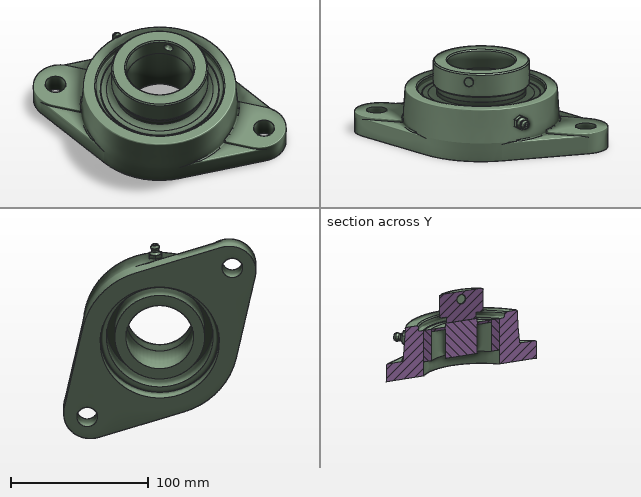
import cadquery as cq
import math

LENGTH = 189.0
BODY_RADIUS = 56.98
EAR_RADIUS = 19.5
EAR_OFFSET = LENGTH / 2 - EAR_RADIUS
PLATE_TOP = 13.8
PLATE_EDGE_ROUND = 1.1
PAD_TOP = 15.5
PAD_EDGE_ROUND = 0.8
BOLT_HOLE_DIAMETER = 15.0
BOLT_HOLE_OFFSET = 78.5
BOSS_TOP = 39.1
BOSS_TOP_RADIUS = 55.4
BOSS_TOP_ROUND = 1.1
BOSS_FOOT_ROUND = 1.0

RECESS_RADIUS = 92.8 / 2
RECESS_CHAMFER = 1.0
RECESS_FLOOR_ROUND = 0.8
BEARING_TOP = 34.8
BEARING_BOTTOM = 10.5
OUTER_RING_RADIUS = 43.3
OUTER_RING_CHAMFER = 0.5
SEAL_OUTER_RADIUS = 77.5 / 2
SEAL_THICKNESS = 2.3
INNER_RING_RADIUS = 65.2 / 2
SHAFT_RADIUS = 49.1 / 2

COLLAR_TOP = 60.0
COLLAR_BOTTOM = 41.8
COLLAR_RADIUS = 70.0 / 2
COLLAR_CHAMFER = 1.0
PILOT_RADIUS = 64.5 / 2
PILOT_BOTTOM = 37.6
SPIGOT_RADIUS = 59.3 / 2
SPIGOT_TOP = 46.0
SCREW_RADIUS = 6.8 / 2
SCREW_HEIGHT = 53.7
SCREW_INNER_END = 30.2
SCREW_OUTER_END = 36.3

NIPPLE_ANGLE = 134.7
NIPPLE_HEIGHT = 27.5
NIPPLE_TIP = 65.5
HEX_ACROSS_FLATS = 9.3
HEX_ACROSS_CORNERS = HEX_ACROSS_FLATS / math.cos(math.radians(30))
HEX_OUTER_END = NIPPLE_TIP - 6.8
HEX_INNER_END = 54.8
SHANK_RADIUS = 6.0 / 2
SHANK_INNER_END = 49.1
TIP_RADIUS = 2.3
HEAD_RADIUS = 6.8 / 2
HEAD_WIDEST = NIPPLE_TIP - 1.9
NECK_RADIUS = 2.6
NECK_OUTER_END = NIPPLE_TIP - 3.8
NECK_INNER_END = NIPPLE_TIP - 5.1
HEX_CONE_RADIUS = 4.2
BALL_RADIUS = 2.3 / 2
BALL_PROTRUSION = 0.5
BALL_CENTRE = NIPPLE_TIP + BALL_PROTRUSION - BALL_RADIUS


def cylinder(radius, bottom, top):
    return cq.Workplane("XY").workplane(offset=bottom).circle(radius).extrude(top - bottom)


def tube(outer_radius, inner_radius, bottom, top):
    return cylinder(outer_radius, bottom, top).cut(cylinder(inner_radius, bottom, top))


def revolved(profile):
    """Closed (radius, height) outline turned about the Z axis."""
    return cq.Workplane("XZ").polyline(profile).close().revolve(360, (0, 0, 0), (0, 1, 0))


def aim_nipple(shape):
    """Lay a shape built along Z onto the nipple axis, with one hexagon corner upward."""
    laid_down = shape.rotate((0, 0, 0), (0, 1, 0), 90)
    return laid_down.rotate((0, 0, 0), (0, 0, 1), NIPPLE_ANGLE).translate((0, 0, NIPPLE_HEIGHT))


def wing_outline(inset):
    """Straight tangents common to the middle circle and the ears, moved inward by the inset."""
    normal_x = (BODY_RADIUS - EAR_RADIUS) / EAR_OFFSET
    normal_y = math.sqrt(1 - normal_x ** 2)
    body_x = (BODY_RADIUS - inset) * normal_x
    body_y = (BODY_RADIUS - inset) * normal_y
    ear_x = EAR_OFFSET + (EAR_RADIUS - inset) * normal_x
    ear_y = (EAR_RADIUS - inset) * normal_y
    corners = [
        (ear_x, -ear_y), (ear_x, ear_y), (body_x, body_y), (-body_x, body_y),
        (-ear_x, ear_y), (-ear_x, -ear_y), (-body_x, -body_y), (body_x, -body_y),
    ]
    return cq.Workplane("XY").polyline(corners).close()


def make_plate():
    """Wings of the flange between the middle circle and the ears."""
    plate = wing_outline(0).extrude(PLATE_TOP)
    tangent_edges = plate.faces(">Z").edges("not (|X or |Y)")
    return tangent_edges.fillet(PLATE_EDGE_ROUND)


def make_pads():
    """Round-ended strip that raises both ears above the plate."""
    strip = cq.Workplane("XY").slot2D(LENGTH, 2 * EAR_RADIUS).extrude(PAD_TOP)
    return strip.faces(">Z").edges().fillet(PAD_EDGE_ROUND)


def make_boss():
    """Round flange middle with the tapered bearing boss on top."""
    return revolved([
        (0, 0),
        (BODY_RADIUS, 0),
        (BODY_RADIUS, PLATE_TOP),
        (BOSS_TOP_RADIUS, BOSS_TOP),
        (0, BOSS_TOP),
    ]).faces(">Z").edges().fillet(BOSS_TOP_ROUND)


def make_foot_rounding(floor):
    """Ring with a concave outer side that leads from a flat floor into the tapered boss."""
    taper = (BODY_RADIUS - BOSS_TOP_RADIUS) / (BOSS_TOP - PLATE_TOP)
    foot_radius = BODY_RADIUS - taper * (floor - PLATE_TOP)
    bend = BOSS_FOOT_ROUND * (1 - math.sqrt(0.5))
    return (
        cq.Workplane("XZ")
        .moveTo(RECESS_RADIUS, 0)
        .lineTo(foot_radius + BOSS_FOOT_ROUND, 0)
        .lineTo(foot_radius + BOSS_FOOT_ROUND, floor)
        .threePointArc(
            (foot_radius + bend, floor + bend),
            (foot_radius - taper * BOSS_FOOT_ROUND, floor + BOSS_FOOT_ROUND),
        )
        .lineTo(RECESS_RADIUS, floor + BOSS_FOOT_ROUND)
        .close()
        .revolve(360, (0, 0, 0), (0, 1, 0))
    )


def make_pad_foot_rounding():
    flat_width = 2 * (EAR_RADIUS - PAD_EDGE_ROUND)
    pad_flat = cq.Workplane("XY").box(LENGTH, flat_width, BOSS_TOP, centered=(True, True, False))
    return make_foot_rounding(PAD_TOP).intersect(pad_flat)


def make_plate_foot_rounding():
    plate_flat = wing_outline(PLATE_EDGE_ROUND).extrude(BOSS_TOP)
    return make_foot_rounding(PLATE_TOP).intersect(plate_flat)


def make_housing():
    housing = make_plate().union(make_boss()).union(make_pads())
    housing = housing.union(make_plate_foot_rounding()).union(make_pad_foot_rounding())
    recess = cylinder(RECESS_RADIUS, BEARING_TOP, BOSS_TOP).faces("<Z").edges().fillet(RECESS_FLOOR_ROUND)
    mouth = revolved([
        (0, BOSS_TOP - RECESS_CHAMFER),
        (RECESS_RADIUS, BOSS_TOP - RECESS_CHAMFER),
        (RECESS_RADIUS + RECESS_CHAMFER, BOSS_TOP),
        (0, BOSS_TOP),
    ])
    bolt_holes = (
        cq.Workplane("XY")
        .pushPoints([(-BOLT_HOLE_OFFSET, 0), (BOLT_HOLE_OFFSET, 0)])
        .circle(BOLT_HOLE_DIAMETER / 2)
        .extrude(PAD_TOP)
    )
    bearing_seat = cylinder(OUTER_RING_RADIUS, 0, BEARING_TOP)
    return (
        housing.cut(recess).cut(mouth).cut(bearing_seat).cut(bolt_holes)
        .cut(make_nipple_hex()).cut(make_nipple_shank())
    )


def make_outer_ring():
    ring = cylinder(OUTER_RING_RADIUS, BEARING_BOTTOM, BEARING_TOP).edges().chamfer(OUTER_RING_CHAMFER)
    return ring.cut(cylinder(SEAL_OUTER_RADIUS, BEARING_BOTTOM, BEARING_TOP))


def make_seal():
    return tube(SEAL_OUTER_RADIUS, INNER_RING_RADIUS, BEARING_TOP - SEAL_THICKNESS, BEARING_TOP)


def make_inner_ring():
    ring = tube(INNER_RING_RADIUS, SHAFT_RADIUS, BEARING_BOTTOM, PILOT_BOTTOM)
    return ring.union(tube(SPIGOT_RADIUS, SHAFT_RADIUS, PILOT_BOTTOM, SPIGOT_TOP))


def make_collar():
    collar = cylinder(COLLAR_RADIUS, COLLAR_BOTTOM, COLLAR_TOP).edges().chamfer(COLLAR_CHAMFER)
    collar = collar.union(cylinder(PILOT_RADIUS, PILOT_BOTTOM, COLLAR_BOTTOM))
    collar = collar.cut(cylinder(SPIGOT_RADIUS, PILOT_BOTTOM, SPIGOT_TOP))
    collar = collar.cut(cylinder(SHAFT_RADIUS, SPIGOT_TOP, COLLAR_TOP))
    bore_mouth = revolved([
        (0, COLLAR_TOP - COLLAR_CHAMFER),
        (SHAFT_RADIUS, COLLAR_TOP - COLLAR_CHAMFER),
        (SHAFT_RADIUS + COLLAR_CHAMFER, COLLAR_TOP),
        (0, COLLAR_TOP),
    ])
    return collar.cut(bore_mouth).cut(screw_cylinder(0, COLLAR_RADIUS))


def screw_cylinder(start, end):
    """Cylinder of the set screw diameter along +Y."""
    axis = cq.Workplane("XZ", origin=(0, start, SCREW_HEIGHT))
    return axis.circle(SCREW_RADIUS).extrude(start - end)


def make_set_screw():
    return screw_cylinder(SCREW_INNER_END, SCREW_OUTER_END)


def make_nipple_hex():
    prism = (
        cq.Workplane("XY")
        .workplane(offset=HEX_INNER_END)
        .polygon(6, HEX_ACROSS_CORNERS)
        .extrude(HEX_OUTER_END - HEX_INNER_END)
    )
    return aim_nipple(prism)


def make_nipple_shank():
    return aim_nipple(cylinder(SHANK_RADIUS, SHANK_INNER_END, HEX_INNER_END))


def make_ball():
    return aim_nipple(cq.Workplane("XY").sphere(BALL_RADIUS).translate((0, 0, BALL_CENTRE)))


def make_nipple():
    head = aim_nipple(revolved([
        (0, HEX_OUTER_END),
        (HEX_CONE_RADIUS, HEX_OUTER_END),
        (NECK_RADIUS, NECK_INNER_END),
        (NECK_RADIUS, NECK_OUTER_END),
        (HEAD_RADIUS, HEAD_WIDEST),
        (TIP_RADIUS, NIPPLE_TIP),
        (0, NIPPLE_TIP),
    ]))
    ball_socket = aim_nipple(cylinder(BALL_RADIUS, BALL_CENTRE, NIPPLE_TIP))
    nipple = make_nipple_hex().union(make_nipple_shank()).union(head)
    return nipple.cut(ball_socket).cut(make_ball())


housing = make_housing()
outer_ring = make_outer_ring()
seal = make_seal()
inner_ring = make_inner_ring()
collar = make_collar()
set_screw = make_set_screw()
nipple = make_nipple()
ball = make_ball()

result = cq.Compound.makeCompound([
    housing.val(),
    outer_ring.val(),
    seal.val(),
    inner_ring.val(),
    collar.val(),
    set_screw.val(),
    nipple.val(),
    ball.val(),
])